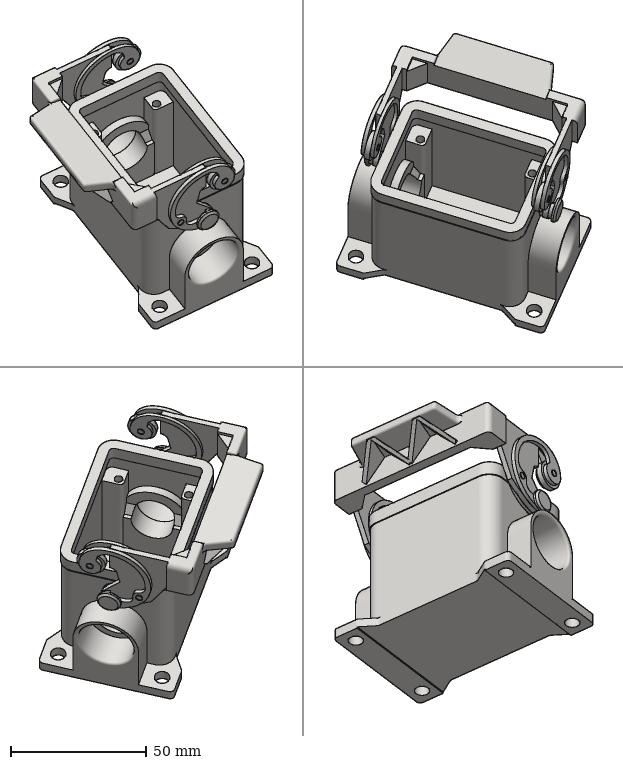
import cadquery as cq
import math

overall_length = 82.0
base_width = 52.1
base_top = 4.1
body_bottom = 0.6
base_corner_radius = 1.8
foot_length = 11.15
foot_flare_end = 23.1
foot_bend_radius = 1.6
foot_flare_radius = 2.5

body_length = 60.0
body_width = 43.6
body_corner_radius = 6.15
collar_overhang = 0.3
collar_bottom = 47.7
body_top = 53.3

mouth_length = 52.65
mouth_width = 35.9
mouth_corner_radius = 1.8
cavity_length = 53.95
cavity_width = 38.5
cavity_corner_radius = 2.5
cavity_floor = 4.4

mount_hole_diameter = 5.65
mount_hole_x = 35.1
mount_hole_y = 20.0

entry_height = 23.0
entry_radius = 12.6
entry_bore_radius = 10.75
entry_bore_depth = 13.1
entry_mouth_fillet = 0.9
entry_hole_radius = 8.0
boss_inner_x = 23.9
ledge_slope_length = 2.7
ledge_rise = 3.45

post_inner_x = 19.6
post_inner_y = 11.1
post_top = 41.4
post_fillet = 1.5
post_hole_x = 22.05
post_hole_y = 13.5
post_hole_diameter = 3.1
post_hole_depth = 12.3

arm_inner_x = 32.4
arm_thickness = 2.1
arm_overlap = 0.8
outer_hook_thickness = 1.55
inner_hook_thickness = 1.3

pivot_z = 43.2
pivot_pin_radius = 2.55
pivot_head_radius = 4.6
pivot_head_thickness = 1.6
pivot_head_chamfer = 0.8
arm_eye_radius = 3.9

hook_center_z = 55.5
hook_outer_radius = 15.9
hook_band = 2.1
roller_y = 7.55
roller_z = 60.6
roller_radius = 5.5
roller_eye_radius = 4.3
crown_radius = 10.8
rivet_radius = 1.3
rivet_head_height = 0.3
rivet_y = -11.5
rivet_z = 48.6
rivet_lug_radius = 2.55

bail_length = 73.3
bail_bottom = 57.1
bail_top = 71.1
bail_back = -22.05
bail_front = -32.2
bail_side_thickness = 6.1
bail_bar_thickness = 4.1
bail_corner_radius = 2.1
bail_front_fillet = 0.8
gusset_leg = 5.9
gusset_drop = 1.2

tab_tip = -43.1
tab_root_top = 70.6
tab_root_fillet = 2.0
tab_angle = 10.5
tab_thickness = 4.0
tab_root_half_width = 22.05
tab_taper = 15.0
tab_edge_fillet = 1.0
bail_notch_fillet = 0.5
tab_corner_fillet = 1.2

rib_thickness = 1.55
rib_pitch = 10.7
rib_base_z = 57.9

cavity_end = cavity_length / 2
cavity_side = cavity_width / 2
half_length = overall_length / 2
post_length = cavity_end - post_inner_x
post_width = cavity_side - post_inner_y
bore_end_x = half_length - entry_bore_depth
arm_outer_x = arm_inner_x + arm_thickness
hook_outer_x = arm_outer_x + outer_hook_thickness
hook_inner_x = arm_inner_x - inner_hook_thickness
bail_side = bail_length / 2
bail_bar_back = bail_front + bail_bar_thickness


def rounded_block(length, width, radius, z_low, z_high):
    """Upright block centred on the Z axis with rounded vertical edges."""
    block = cq.Workplane("XY").box(length, width, z_high - z_low, centered=(True, True, False))
    return block.edges("|Z").fillet(radius).translate((0, 0, z_low))


def x_cylinder(radius, y, z, x_low, x_high):
    """Cylinder along X between two X positions."""
    return cq.Workplane("YZ", origin=(x_low, y, z)).circle(radius).extrude(x_high - x_low)


def polar(center, radius, degrees):
    """Point on a circle, measured counter-clockwise from the first axis."""
    angle = math.radians(degrees)
    return (center[0] + radius * math.cos(angle), center[1] + radius * math.sin(angle))


def both_ends(shape):
    """The shape together with its mirror image across the YZ plane."""
    return shape.union(shape.mirror("YZ"))


def base_end():
    """Base flange at the +X end: flared ears over a slightly lower pad."""
    half_width = base_width / 2
    body_side = body_width / 2
    pad_inner_x = half_length - foot_length
    flange = (
        cq.Workplane("XY")
        .moveTo(post_inner_x, -body_side)
        .lineTo(foot_flare_end, -body_side)
        .lineTo(pad_inner_x, -half_width)
        .lineTo(half_length, -half_width)
        .lineTo(half_length, half_width)
        .lineTo(pad_inner_x, half_width)
        .lineTo(foot_flare_end, body_side)
        .lineTo(post_inner_x, body_side)
        .close()
        .extrude(base_top)
    )
    for x, radius in (
        (half_length, base_corner_radius),
        (pad_inner_x, foot_bend_radius),
        (foot_flare_end, foot_flare_radius),
    ):
        corner = cq.selectors.BoxSelector((x - 0.1, -base_width, 0), (x + 0.1, base_width, base_top))
        flange = flange.edges("|Z").edges(corner).fillet(radius)
    relief = cq.Workplane("XY").box(2 * pad_inner_x, base_width, body_bottom, centered=(True, True, False))
    return flange.cut(relief)


def entry_outside():
    """Cable-entry housing at the +X end: a cylinder on a straight-sided stand."""
    length = half_length - cavity_end
    height = entry_height - body_bottom
    stand = (
        cq.Workplane("XY")
        .box(length, 2 * entry_radius, height, centered=(False, True, False))
        .translate((cavity_end, 0, body_bottom))
    )
    return stand.union(x_cylinder(entry_radius, 0, entry_height, cavity_end, half_length))


def entry_inside():
    """End wall of the cable entry inside the cavity, with the sloped ledge below it."""
    boss = x_cylinder(entry_radius, 0, entry_height, boss_inner_x, cavity_end)
    ledge = (
        cq.Workplane("XZ", origin=(0, post_inner_y, 0))
        .moveTo(cavity_end, body_bottom)
        .lineTo(post_inner_x, body_bottom)
        .lineTo(post_inner_x, entry_height)
        .lineTo(boss_inner_x - ledge_slope_length, entry_height)
        .lineTo(boss_inner_x, entry_height + ledge_rise)
        .lineTo(cavity_end, entry_height + ledge_rise)
        .close()
        .extrude(2 * post_inner_y)
    )
    return boss.union(ledge)


def entry_bore():
    """Bore with a rounded mouth from the end face, then a smaller hole into the cavity."""
    mouth_radius = entry_bore_radius + entry_mouth_fillet
    mouth_depth_x = half_length - entry_mouth_fillet
    mouth_middle = polar((mouth_depth_x, mouth_radius), entry_mouth_fillet, -45)
    return (
        cq.Workplane("XZ")
        .moveTo(post_inner_x, 0)
        .lineTo(post_inner_x, entry_hole_radius)
        .lineTo(bore_end_x, entry_hole_radius)
        .lineTo(bore_end_x, entry_bore_radius)
        .lineTo(mouth_depth_x, entry_bore_radius)
        .threePointArc(mouth_middle, (half_length, mouth_radius))
        .lineTo(half_length, 0)
        .close()
        .revolve(360, (0, 0, 0), (1, 0, 0))
        .translate((0, 0, entry_height))
    )


def post(y_sign):
    """Corner post for the contact insert, with a plain screw hole."""
    block = (
        cq.Workplane("XY")
        .box(post_length, post_width, post_top - body_bottom, centered=False)
        .edges("|Z and <X and <Y")
        .fillet(post_fillet)
        .translate((post_inner_x, post_inner_y, body_bottom))
    )
    block = (
        block.faces(">Z")
        .workplane(origin=(post_hole_x, post_hole_y, 0))
        .hole(post_hole_diameter, post_hole_depth)
    )
    return block if y_sign > 0 else block.mirror("XZ")


def housing():
    """Hollow body with collar, feet, cable entries, insert posts and mounting holes."""
    body = rounded_block(body_length, body_width, body_corner_radius, body_bottom, body_top)
    collar = rounded_block(
        body_length + 2 * collar_overhang,
        body_width + 2 * collar_overhang,
        body_corner_radius,
        collar_bottom,
        body_top,
    )
    mouth = rounded_block(mouth_length, mouth_width, mouth_corner_radius, collar_bottom, body_top)
    cavity = rounded_block(cavity_length, cavity_width, cavity_corner_radius, cavity_floor, collar_bottom)
    cavity = cavity.union(mouth)
    shell = body.union(collar).union(both_ends(base_end())).union(both_ends(entry_outside())).cut(cavity)
    fittings = entry_inside().union(post(1)).union(post(-1))
    shell = shell.union(both_ends(fittings)).cut(both_ends(entry_bore()))
    mount_holes = (
        cq.Workplane("XY")
        .rect(2 * mount_hole_x, 2 * mount_hole_y, forConstruction=True)
        .vertices()
        .circle(mount_hole_diameter / 2)
        .extrude(base_top)
    )
    return shell.cut(mount_holes)


def hook_plate(x_low, thickness):
    """C-shaped plate running from the roller over the top and down to the pivot."""
    center = (0, hook_center_z)
    roller = (roller_y, roller_z)
    rivet = (rivet_y, rivet_z)
    inner_radius = hook_outer_radius - hook_band
    eye_radius = hook_outer_radius - (hook_center_z - pivot_z)

    roller_eye_side = (roller_y + roller_eye_radius, roller_z)
    crown_center = (roller_eye_side[0] - crown_radius, roller_z)
    crown_lean = math.degrees(math.atan2(roller_z - hook_center_z, crown_center[0]))
    crown_end = polar(center, hook_outer_radius, crown_lean)
    crown_middle = polar(crown_center, crown_radius, crown_lean / 2)

    tail_inner_edge = (-5.7, 44.1)
    tail_blend = (-8.4, 45.4)
    lug_blend = (-12.9, 52.15)
    neck_blend = (3.8, 67.7)
    return (
        cq.Workplane("YZ", origin=(x_low, 0, 0))
        .moveTo(*roller_eye_side)
        .threePointArc(crown_middle, crown_end)
        .threePointArc(polar(center, hook_outer_radius, 180), polar(center, hook_outer_radius, 270))
        .threePointArc((eye_radius, pivot_z), (0, pivot_z + eye_radius))
        .lineTo(0, tail_inner_edge[1])
        .lineTo(*tail_inner_edge)
        .threePointArc(tail_blend, polar(rivet, rivet_lug_radius, -10))
        .threePointArc(polar(rivet, rivet_lug_radius, 35), polar(rivet, rivet_lug_radius, 80))
        .threePointArc(lug_blend, polar(center, inner_radius, 186))
        .threePointArc(polar(center, inner_radius, 135), polar(center, inner_radius, 90))
        .threePointArc(neck_blend, polar(roller, roller_eye_radius, 124))
        .threePointArc(polar(roller, roller_eye_radius, 250), roller_eye_side)
        .close()
        .extrude(thickness)
    )


def arm_plate():
    """Flat arm joining the handle bail to the pivot."""
    embedded_y = bail_back - arm_overlap
    back_edge_y = 0.4
    notch_start = (back_edge_y, 60.2)
    notch_middle = (-1.3, 59.7)
    notch_end = (-2.4, 58.4)
    waist = (-3.5, 53.0)
    heel_middle = (-10.2, 42.8)
    heel_corner = (-15.7, 45.8)
    pivot = (0, pivot_z)
    return (
        cq.Workplane("YZ", origin=(arm_inner_x, 0, 0))
        .moveTo(embedded_y, bail_top)
        .lineTo(back_edge_y, bail_top)
        .lineTo(*notch_start)
        .threePointArc(notch_middle, notch_end)
        .lineTo(*waist)
        .lineTo(*polar(pivot, arm_eye_radius, 40))
        .threePointArc(polar(pivot, arm_eye_radius, 0), polar(pivot, arm_eye_radius, 270))
        .threePointArc(heel_middle, heel_corner)
        .lineTo(bail_back, bail_bottom)
        .lineTo(embedded_y, bail_bottom)
        .close()
        .extrude(arm_thickness)
    )


def latch():
    """Arm, hook plates, roller, rivets and pivot pin of the +X lever."""
    lever = (
        arm_plate()
        .union(hook_plate(arm_outer_x, outer_hook_thickness))
        .union(hook_plate(hook_inner_x, inner_hook_thickness))
        .union(x_cylinder(roller_radius, roller_y, roller_z, arm_inner_x, arm_outer_x))
    )
    for y, z in ((roller_y, roller_z), (rivet_y, rivet_z)):
        lever = lever.union(
            x_cylinder(rivet_radius, y, z, hook_inner_x - rivet_head_height, hook_outer_x + rivet_head_height)
        )
    pin = x_cylinder(pivot_pin_radius, 0, pivot_z, cavity_end, hook_outer_x)
    head = x_cylinder(pivot_head_radius, 0, pivot_z, hook_outer_x, hook_outer_x + pivot_head_thickness)
    head = head.faces(">X").edges().chamfer(pivot_head_chamfer)
    return lever.union(pin).union(head)


def bail_frame():
    """U-shaped frame with rounded outside edges and gusseted inside corners."""
    height = bail_top - bail_bottom
    depth = bail_back - bail_front
    frame = cq.Workplane("XY").box(bail_length, depth, height, centered=(True, False, False))
    frame = frame.translate((0, bail_front, bail_bottom))
    frame = frame.edges("|Z and <Y").fillet(bail_corner_radius)
    frame = frame.faces(">Z").edges("not >Y").fillet(bail_front_fillet)
    rounded_sides = (
        cq.Workplane("XY")
        .box(bail_length, depth, height, centered=(True, False, False))
        .translate((0, bail_front, bail_bottom))
        .edges("|Y and >Z")
        .fillet(bail_corner_radius)
    )
    frame = frame.intersect(rounded_sides)
    opening_half = bail_side - bail_side_thickness
    opening = (
        cq.Workplane("XY", origin=(0, 0, bail_bottom))
        .moveTo(-opening_half, bail_back)
        .lineTo(-opening_half + gusset_leg, bail_bar_back)
        .lineTo(opening_half - gusset_leg, bail_bar_back)
        .lineTo(opening_half, bail_back)
        .close()
        .extrude(height)
    )
    gusset_recess = (
        cq.Workplane("XY")
        .box(2 * opening_half, bail_back - bail_bar_back, gusset_drop, centered=(True, False, False))
        .translate((0, bail_bar_back, bail_top - gusset_drop))
    )
    return frame.cut(opening).cut(gusset_recess)


def tab_top_at(y):
    """Height of the tab's tilted top face."""
    return tab_root_top + (bail_front - y) * math.tan(math.radians(tab_angle))


def tilted_strip(half_width, rise):
    """Tilted strip starting on the tab's top line; rise is its signed thickness."""
    length = (bail_bar_back - tab_tip) / math.cos(math.radians(tab_angle))
    return (
        cq.Workplane("YZ", origin=(-half_width, bail_bar_back, tab_top_at(bail_bar_back)))
        .transformed(rotate=(0, 0, -tab_angle))
        .moveTo(0, 0)
        .lineTo(-length, 0)
        .lineTo(-length, rise)
        .lineTo(0, rise)
        .close()
        .extrude(2 * half_width)
    )


def thumb_tab():
    """Tilted, tapering tab with rounded edges."""
    far = 2 * bail_top
    flare_half_width = tab_root_half_width + tab_root_fillet
    embedded_y = bail_front + tab_root_fillet
    flare_center = (flare_half_width, bail_front - tab_root_fillet)
    flare_middle = polar(flare_center, tab_root_fillet, 135)
    neck = polar(flare_center, tab_root_fillet, 180 - tab_taper)
    tip_half_width = neck[0] - (neck[1] - tab_tip) * math.tan(math.radians(tab_taper))
    plan = (
        cq.Workplane("XY")
        .moveTo(-tab_root_half_width, bail_bar_back)
        .lineTo(-tab_root_half_width, embedded_y)
        .lineTo(-flare_half_width, embedded_y)
        .lineTo(-flare_half_width, bail_front)
        .threePointArc((-flare_middle[0], flare_middle[1]), (-neck[0], neck[1]))
        .lineTo(-tip_half_width, tab_tip)
        .lineTo(tip_half_width, tab_tip)
        .lineTo(*neck)
        .threePointArc(flare_middle, (flare_half_width, bail_front))
        .lineTo(flare_half_width, embedded_y)
        .lineTo(tab_root_half_width, embedded_y)
        .lineTo(tab_root_half_width, bail_bar_back)
        .close()
        .extrude(far)
        .edges("|Z and <Y")
        .fillet(tab_corner_fillet)
    )
    tab = tilted_strip(bail_side, -tab_thickness).intersect(plan)
    front_limit = bail_front - tab_root_fillet / 4
    front_part = cq.selectors.BoxSelector((-far, tab_tip - 0.8, 0), (far, front_limit, far))
    return tab.edges(front_part).fillet(tab_edge_fillet)


def ribs():
    """Zigzag of 45 degree ribs under the tab, tapering out to the tab's underside."""
    tab_bottom = tab_top_at(bail_front) - tab_thickness
    crest = rib_base_z + rib_pitch
    rib_foot_z = rib_base_z + rib_thickness / math.sqrt(8)
    rib_length = rib_pitch * math.sqrt(2)
    envelope = (
        cq.Workplane("YZ", origin=(-bail_side, 0, 0))
        .moveTo(bail_front, rib_base_z)
        .lineTo(bail_front - rib_pitch, crest)
        .lineTo(bail_front, tab_bottom)
        .close()
        .extrude(bail_length)
    )
    zigzag = cq.Workplane("XY")
    for foot_x in (-2 * rib_pitch, 0, 2 * rib_pitch):
        for lean in (-1, 1):
            if abs(foot_x + lean * rib_pitch) > 2 * rib_pitch:
                continue
            rib = (
                cq.Workplane("XZ", origin=(foot_x, bail_front, rib_foot_z))
                .transformed(rotate=(0, 0, 90 - 45 * lean))
                .moveTo(0, -rib_thickness / 2)
                .lineTo(rib_length, -rib_thickness / 2)
                .lineTo(rib_length, rib_thickness / 2)
                .lineTo(0, rib_thickness / 2)
                .close()
                .extrude(2 * rib_pitch)
            )
            zigzag = zigzag.union(rib)
    return zigzag.intersect(envelope)


def bail():
    """Frame notched for the tab, with the tab and its ribs."""
    frame = bail_frame().cut(tilted_strip(tab_root_half_width, tab_thickness))
    for side in (-tab_root_half_width, tab_root_half_width):
        notch_edge = cq.selectors.BoxSelector(
            (side - 0.1, bail_front, bail_top - 0.1), (side + 0.1, bail_bar_back, bail_top + 0.1)
        )
        frame = frame.edges("|Y").edges(notch_edge).fillet(bail_notch_fillet)
    return frame.union(thumb_tab()).union(ribs())


result = housing().union(both_ends(latch())).union(bail())